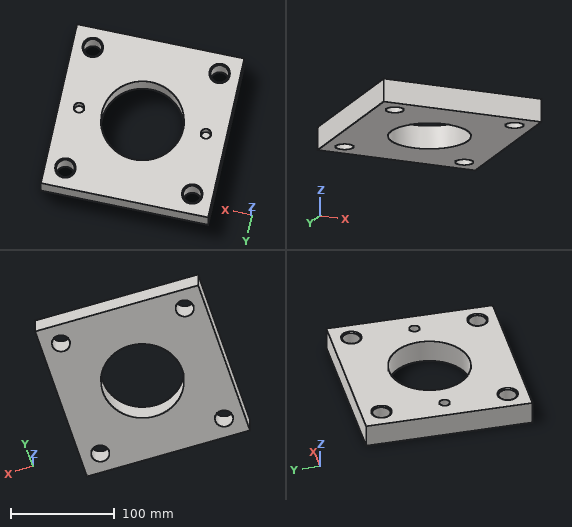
import cadquery as cq

plate_side = 165.0
plate_thickness = 23.5
bore_diameter = 80.0

hole_pitch = 125.0
bolt_hole_diameter = 17.5
bolt_hole_mouth_diameter = 20.0
pin_hole_diameter = 10.0
pin_hole_depth = 10.0

plate = (
    cq.Workplane("XY")
    .rect(plate_side, plate_side)
    .extrude(plate_thickness)
    .faces(">Z")
    .workplane()
    .hole(bore_diameter)
)

drilled_plate = (
    plate.faces(">Z")
    .workplane()
    .rect(hole_pitch, hole_pitch, forConstruction=True)
    .vertices()
    .cskHole(bolt_hole_diameter, bolt_hole_mouth_diameter, 90)
)

result = (
    drilled_plate.faces(">Z")
    .workplane()
    .pushPoints([(-hole_pitch / 2, 0), (hole_pitch / 2, 0)])
    .hole(pin_hole_diameter, pin_hole_depth)
)